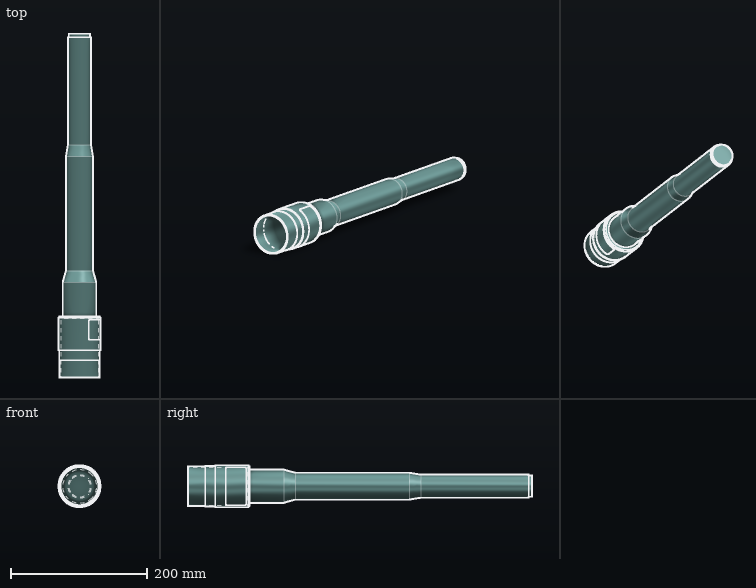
import cadquery as cq

BAND_START = 25.4
BAND_LENGTH = 15.0
COLLAR_START = BAND_START + BAND_LENGTH
COLLAR_LENGTH = 50.0
SHOULDER = COLLAR_START + COLLAR_LENGTH
SOCKET_LENGTH = 50.0
SOCKET_END = SHOULDER + SOCKET_LENGTH
CONE_LENGTH = 17.0
MIDDLE_START = SOCKET_END + CONE_LENGTH
TOTAL_LENGTH = 505.4
TIP_LENGTH = 5.0
TIP_START = TOTAL_LENGTH - TIP_LENGTH
FRONT_TUBE_LENGTH = 158.4
FRONT_TUBE_START = TIP_START - FRONT_TUBE_LENGTH
MIDDLE_END = FRONT_TUBE_START - CONE_LENGTH

MOUTH_DIAMETER = 58.95
BAND_DIAMETER = 59.84
COLLAR_DIAMETER = 62.01
SOCKET_DIAMETER = 49.5
MIDDLE_DIAMETER = 40.0
FRONT_TUBE_DIAMETER = 34.4
TIP_DIAMETER = 31.55
BORE_DIAMETER = 55.7

COLLAR_CHAMFER = 2.0

COLLAR_WALL = (COLLAR_DIAMETER - BORE_DIAMETER) / 2
BORE_DEPTH = SHOULDER - COLLAR_WALL

PANEL_LENGTH = 30.0
PANEL_WIDTH = 56.0
PANEL_HEIGHT = 0.09
PANEL_CORNER_RADIUS = 2.0
PANEL_END_GAP = 5.0
PANEL_CENTER_Y = SHOULDER - PANEL_END_GAP - PANEL_LENGTH / 2


def along_y(diameter, start, length):
    """Cylinder about the Y axis."""
    plane = cq.Plane(origin=(0, start, 0), xDir=(1, 0, 0), normal=(0, 1, 0))
    return cq.Workplane(plane).circle(diameter / 2).extrude(length)


def make_body():
    """Solid of revolution: collar, socket and the stepped tubes joined by cones."""
    stations = [
        (MOUTH_DIAMETER, 0),
        (MOUTH_DIAMETER, BAND_START),
        (BAND_DIAMETER, BAND_START),
        (BAND_DIAMETER, COLLAR_START),
        (COLLAR_DIAMETER, COLLAR_START),
        (COLLAR_DIAMETER, SHOULDER - COLLAR_CHAMFER),
        (COLLAR_DIAMETER - 2 * COLLAR_CHAMFER, SHOULDER),
        (SOCKET_DIAMETER, SHOULDER),
        (SOCKET_DIAMETER, SOCKET_END),
        (MIDDLE_DIAMETER, MIDDLE_START),
        (MIDDLE_DIAMETER, MIDDLE_END),
        (FRONT_TUBE_DIAMETER, FRONT_TUBE_START),
        (FRONT_TUBE_DIAMETER, TIP_START),
        (TIP_DIAMETER, TIP_START),
        (TIP_DIAMETER, TOTAL_LENGTH),
    ]
    outline = [(diameter / 2, y) for diameter, y in stations]
    profile = cq.Workplane("XY").polyline([(0, 0)] + outline + [(0, TOTAL_LENGTH)]).close()
    return profile.revolve(360, (0, 0, 0), (0, 1, 0))


def make_label_panel():
    """Thin rounded rectangle that follows the collar surface on its +X side."""
    outer_diameter = COLLAR_DIAMETER + 2 * PANEL_HEIGHT
    sleeve = along_y(outer_diameter, COLLAR_START, COLLAR_LENGTH)
    core = along_y(BORE_DIAMETER, COLLAR_START, COLLAR_LENGTH)
    outline = (
        cq.Workplane("YZ")
        .center(PANEL_CENTER_Y, 0)
        .rect(PANEL_LENGTH, PANEL_WIDTH)
        .extrude(outer_diameter)
        .edges("|X")
        .fillet(PANEL_CORNER_RADIUS)
    )
    return sleeve.cut(core).intersect(outline)


bore = along_y(BORE_DIAMETER, 0, BORE_DEPTH)
result = make_body().union(make_label_panel()).cut(bore)